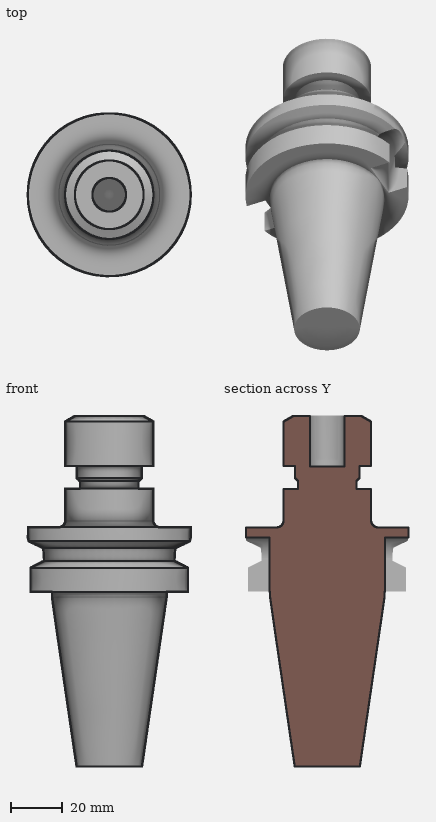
import cadquery as cq

total_height = 135.4
taper_length = 65.4
gauge_land = 2.0
flange_height = 25.0
lower_rim_height = 9.3
upper_rim_height = 5.4
groove_floor_height = 5.0
groove_wall_height = (flange_height - lower_rim_height - upper_rim_height - groove_floor_height) / 2
nut_height = 19.4
nut_chamfer_height = 2.2
collar_height = 4.6
collar_chamfer = 1.2
neck_height = 2.8

taper_large_radius = 22.2
taper_slope = 7 / 48
taper_small_radius = taper_large_radius - taper_slope * taper_length
flange_radius = 63.0 / 2
groove_radius = 26.5
body_radius = 17.0
body_fillet = 2.5
collar_radius = 12.6
neck_radius = collar_radius - collar_chamfer
nut_face_radius = 13.3

bore_diameter = 13.0
bore_depth = nut_height
slot_width = 16.1
slot_floor = 22.5
slot_height = 21.0

flange_bottom = taper_length + gauge_land
flange_top = flange_bottom + flange_height
groove_start = flange_bottom + lower_rim_height
groove_floor_start = groove_start + groove_wall_height
groove_floor_end = groove_floor_start + groove_floor_height
groove_end = flange_top - upper_rim_height
nut_bottom = total_height - nut_height
collar_bottom = nut_bottom - collar_height
neck_top = collar_bottom - collar_chamfer
body_top = neck_top - neck_height


def make_shank():
    """7/24 taper with a short cylindrical land under the flange."""
    return (
        cq.Workplane("XZ")
        .lineTo(taper_small_radius, 0)
        .lineTo(taper_large_radius, taper_length)
        .lineTo(taper_large_radius, flange_bottom)
        .lineTo(0, flange_bottom)
        .close()
        .revolve(360, (0, 0), (0, 1))
    )


def make_flange():
    """Flange with a gripper groove; the groove walls slope down to its floor."""
    return (
        cq.Workplane("XZ")
        .moveTo(0, flange_bottom)
        .lineTo(flange_radius, flange_bottom)
        .lineTo(flange_radius, groove_start)
        .lineTo(groove_radius, groove_floor_start)
        .lineTo(groove_radius, groove_floor_end)
        .lineTo(flange_radius, groove_end)
        .lineTo(flange_radius, flange_top)
        .lineTo(0, flange_top)
        .close()
        .revolve(360, (0, 0), (0, 1))
    )


def make_chuck():
    """Chuck body with a root fillet, then the neck, collar and clamping nut."""
    fillet_middle = body_fillet * (1 - 0.5**0.5)
    return (
        cq.Workplane("XZ")
        .moveTo(0, flange_top)
        .lineTo(body_radius + body_fillet, flange_top)
        .threePointArc(
            (body_radius + fillet_middle, flange_top + fillet_middle),
            (body_radius, flange_top + body_fillet),
        )
        .lineTo(body_radius, body_top)
        .lineTo(neck_radius, body_top)
        .lineTo(neck_radius, neck_top)
        .lineTo(collar_radius, collar_bottom)
        .lineTo(collar_radius, nut_bottom)
        .lineTo(body_radius, nut_bottom)
        .lineTo(body_radius, total_height - nut_chamfer_height)
        .lineTo(nut_face_radius, total_height)
        .lineTo(0, total_height)
        .close()
        .revolve(360, (0, 0), (0, 1))
    )


def make_drive_slot(side):
    """Round-topped cutter for the drive slot on the +X (1) or -X (-1) side."""
    half_width = slot_width / 2
    arc_start = flange_bottom + slot_height - half_width
    return (
        cq.Workplane("YZ", origin=(side * slot_floor, 0, 0))
        .moveTo(-half_width, flange_bottom)
        .lineTo(-half_width, arc_start)
        .threePointArc((0, flange_bottom + slot_height), (half_width, arc_start))
        .lineTo(half_width, flange_bottom)
        .close()
        .extrude(side * flange_radius)
    )


def make_bore():
    """Blind collet bore from the nut face."""
    return (
        cq.Workplane("XY", origin=(0, 0, total_height - bore_depth))
        .circle(bore_diameter / 2)
        .extrude(bore_depth)
    )


result = make_shank().union(make_flange()).union(make_chuck()).cut(make_bore())
for slot_side in (-1, 1):
    result = result.cut(make_drive_slot(slot_side))